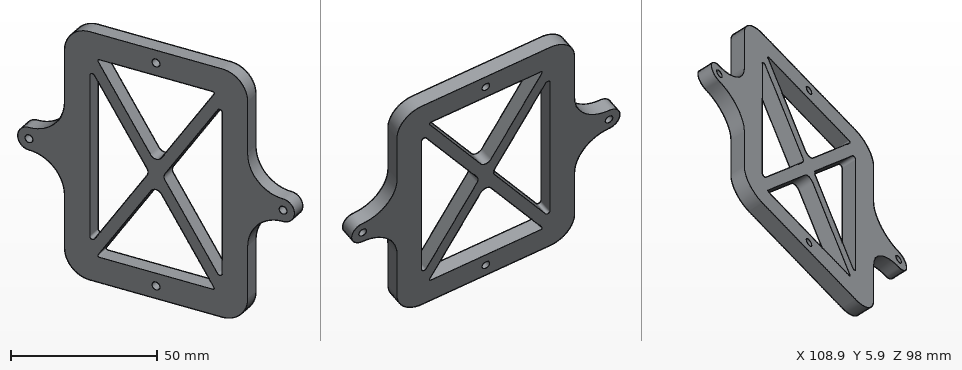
import cadquery as cq
import math

length = 108.9
height = 98.0
thickness = 5.9
body_width = 72.1
corner_radius = 10.0

ear_radius = 4.5
ear_blend_radius = 13.9

hole_diameter = 3.0
end_hole_offset = 44.0

window_width = 52.0
window_height = 78.0
brace_width = 4.5
side_pocket_radius = 1.0
end_pocket_corner_radius = 0.5
hub_radius = 2.5

ear_center = length / 2 - ear_radius


def extrude_through(sketch):
    """Extrude an XZ outline symmetrically about the plate's mid-plane."""
    return sketch.extrude(thickness / 2, both=True)


def make_body():
    plate = extrude_through(cq.Workplane("XZ").rect(body_width, height))
    return plate.edges("|Y").fillet(corner_radius)


def make_ear(side):
    """Round ear joined to the body edge by two tangent concave arcs."""
    edge_x = body_width / 2
    blend_x = edge_x + ear_blend_radius
    center_distance = ear_radius + ear_blend_radius
    blend_z = math.sqrt(center_distance**2 - (blend_x - ear_center) ** 2)

    share = ear_radius / center_distance
    touch_x = ear_center + share * (blend_x - ear_center)
    touch_z = share * blend_z

    start_angle = math.pi
    end_angle = math.atan2(touch_z - blend_z, touch_x - blend_x) % (2 * math.pi)
    middle_angle = (start_angle + end_angle) / 2
    middle_x = blend_x + ear_blend_radius * math.cos(middle_angle)
    middle_z = blend_z + ear_blend_radius * math.sin(middle_angle)

    outline = (
        cq.Workplane("XZ")
        .moveTo(0, -blend_z)
        .lineTo(side * edge_x, -blend_z)
        .threePointArc((side * middle_x, -middle_z), (side * touch_x, -touch_z))
        .threePointArc((side * length / 2, 0), (side * touch_x, touch_z))
        .threePointArc((side * middle_x, middle_z), (side * edge_x, blend_z))
        .lineTo(0, blend_z)
        .close()
    )
    return extrude_through(outline)


def make_pocket(points, outer_radius):
    """Triangular window; the first point is the corner at the brace crossing."""
    pocket = extrude_through(cq.Workplane("XZ").polyline(points).close())
    hub_edge = cq.selectors.NearestToPointSelector((points[0][0], 0, points[0][1]))
    pocket = pocket.edges("|Y").edges(hub_edge).fillet(hub_radius)
    for x, z in points[1:]:
        corner_edge = cq.selectors.NearestToPointSelector((x, 0, z))
        pocket = pocket.edges("|Y").edges(corner_edge).fillet(outer_radius)
    return pocket


def make_window():
    """Four triangular pockets that leave an X-shaped brace."""
    half_width = window_width / 2
    half_height = window_height / 2
    slope = window_height / window_width
    brace_angle = math.atan(slope)
    side_tip = brace_width / 2 / math.sin(brace_angle)
    end_tip = brace_width / 2 / math.cos(brace_angle)
    side_corner_z = slope * (half_width - side_tip)
    end_corner_x = (half_height - end_tip) / slope

    pockets = cq.Workplane("XZ")
    for side in (-1, 1):
        side_points = [
            (side * side_tip, 0),
            (side * half_width, side_corner_z),
            (side * half_width, -side_corner_z),
        ]
        end_points = [
            (0, side * end_tip),
            (end_corner_x, side * half_height),
            (-end_corner_x, side * half_height),
        ]
        pockets = pockets.add(make_pocket(side_points, side_pocket_radius))
        pockets = pockets.add(make_pocket(end_points, end_pocket_corner_radius))
    return pockets.combine()


def make_holes():
    centers = [
        (-ear_center, 0),
        (ear_center, 0),
        (0, -end_hole_offset),
        (0, end_hole_offset),
    ]
    return extrude_through(cq.Workplane("XZ").pushPoints(centers).circle(hole_diameter / 2))


plate = make_body().union(make_ear(-1)).union(make_ear(1))
result = plate.cut(make_window()).cut(make_holes())